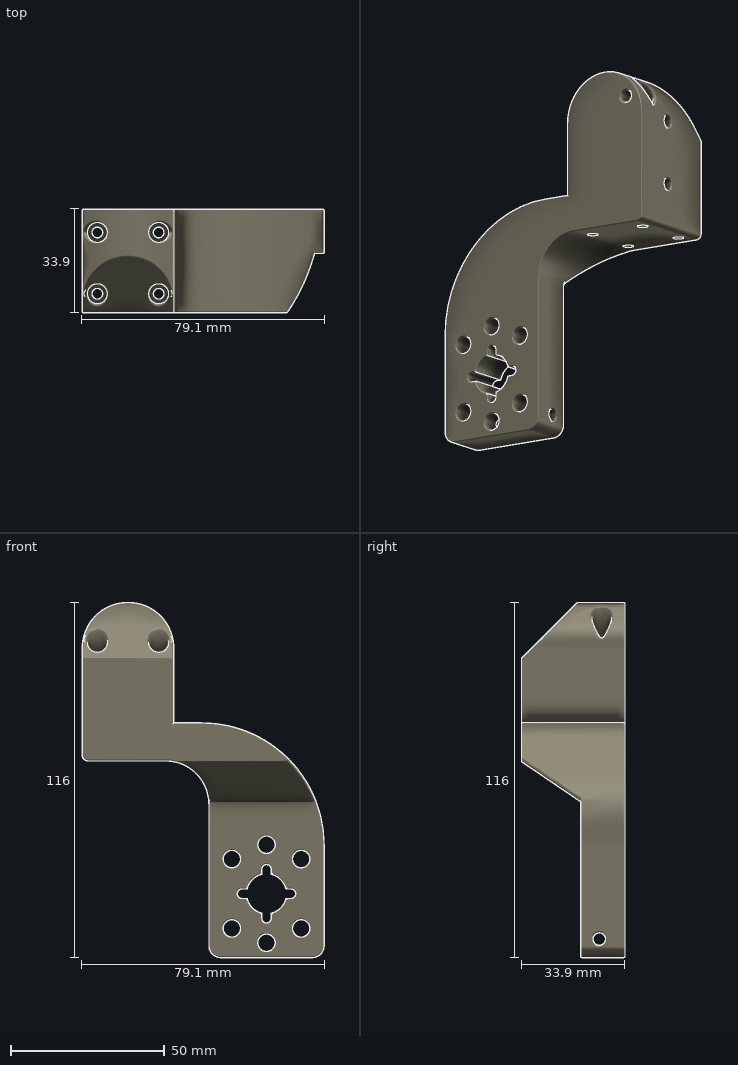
import cadquery as cq
import math

width = 79.05
depth = 33.85
height = 116.0

head_width = 30.0
head_radius = head_width / 2
head_center_z = height - head_radius
arm_top_z = 76.7
arm_bottom_z = 64.2
outer_bend_radius = 40.0
inner_bend_radius = 14.0
head_corner_radius = 2.0

leg_width = 37.7
leg_thickness = 14.5
leg_left = width - leg_width
leg_corner_radius = 4.0

head_slope_base_z = 97.75
arm_slope_lip = 0.2
arm_slope_top_z = arm_bottom_z - arm_slope_lip
arm_slope_base_z = 50.9

flange_x = width - leg_width / 2
flange_z = 20.9
bolt_diameter = 5.6
bolt_circle_radius = 16.0
bolt_angles = (45, 90, 135, 225, 270, 315)
bore_diameter = 13.0
key_width = 3.0
key_circle_radius = 8.0
key_angles = (0, 90, 180, 270)

screw_diameter = 3.4
counterbore_diameter = 6.5
counterbore_floor_z = 96.0
screw_spacing = 20.0
screw_back_y = -7.6
screw_places = [
    (head_radius + side * screw_spacing / 2, screw_back_y - row * screw_spacing)
    for side in (-1, 1)
    for row in (0, 1)
]

pin_diameter = 4.0
pin_hole_depth = 9.0
drill_tip_angle = 118.0
side_hole_y = -15.1
side_hole_heights = (79.1, 100.1)
back_hole_x = 6.5
back_hole_z = 106.7
cross_hole_y = -8.4
cross_hole_z = 6.1

edge_radius = 0.5
slope_edge_radius = 1.0
rim_radius = 0.75

tolerance = 1e-3


def polar(radius, angle):
    turn = math.radians(angle)
    return radius * math.cos(turn), radius * math.sin(turn)


def arc_middle(center_x, center_z, radius):
    dx, dz = polar(radius, 45)
    return center_x + dx, center_z + dz


def bracket_block():
    """The front outline, swept through the full depth."""
    outer_x = width - outer_bend_radius
    outer_z = arm_top_z - outer_bend_radius
    inner_x = leg_left - inner_bend_radius
    inner_z = arm_bottom_z - inner_bend_radius
    block = (
        cq.Workplane("XZ")
        .moveTo(0, arm_bottom_z)
        .lineTo(0, head_center_z)
        .threePointArc((head_radius, height), (head_width, head_center_z))
        .lineTo(head_width, arm_top_z)
        .lineTo(outer_x, arm_top_z)
        .threePointArc(arc_middle(outer_x, outer_z, outer_bend_radius), (width, outer_z))
        .lineTo(width, 0)
        .lineTo(leg_left, 0)
        .lineTo(leg_left, inner_z)
        .threePointArc(arc_middle(inner_x, inner_z, inner_bend_radius), (inner_x, arm_bottom_z))
        .close()
        .extrude(depth)
    )
    corners = ((0, arm_bottom_z, head_corner_radius), (leg_left, 0, leg_corner_radius), (width, 0, leg_corner_radius))
    for x, z, radius in corners:
        corner = cq.selectors.NearestToPointSelector((x, -depth / 2, z))
        block = block.edges(corner).fillet(radius)
    return block


def side_silhouette():
    """The outline seen along X: thin leg, sloped arm and 45 degree head slope."""
    slope_rise = height - head_slope_base_z
    return (
        cq.Workplane("YZ")
        .lineTo(-leg_thickness, 0)
        .lineTo(-leg_thickness, arm_slope_base_z)
        .lineTo(-depth, arm_slope_top_z)
        .lineTo(-depth, head_slope_base_z)
        .lineTo(slope_rise - depth, height)
        .lineTo(0, height)
        .close()
        .extrude(width)
    )


def is_slope_side(edge):
    """True for the edges that run along either sloped face and lead from front to back."""
    box = edge.BoundingBox()
    return box.ylen > tolerance and box.zlen > tolerance


def is_flat_outline(edge):
    """True for the outline edges of the back, leg and front faces, without the ends of the slopes."""
    box = edge.BoundingBox()
    slope_ends = (arm_slope_base_z, arm_slope_top_z, head_slope_base_z)
    at_slope_end = any(abs(edge.Center().z - z) < tolerance for z in slope_ends)
    level = box.zlen < tolerance
    return box.ylen < tolerance and not (level and at_slope_end)


def fillet_where(part, condition, radius):
    return part.newObject([edge for edge in part.edges().vals() if condition(edge)]).fillet(radius)


def rounded_body():
    body = bracket_block().intersect(side_silhouette())
    body = fillet_where(body, is_slope_side, slope_edge_radius)
    return fillet_where(body, is_flat_outline, edge_radius)


def leg_cylinder(x, z, diameter):
    return cq.Workplane("XZ").center(x, z).circle(diameter / 2).extrude(leg_thickness)


def leg_openings():
    """The bolt circle and the centre bore with its four round-ended keyways."""
    cut = leg_cylinder(flange_x, flange_z, bore_diameter)
    for angle in key_angles:
        dx, dz = polar(key_circle_radius, angle)
        slot = (
            cq.Workplane("XZ")
            .center(flange_x, flange_z)
            .transformed(rotate=(0, 0, angle))
            .center(key_circle_radius / 2, 0)
            .rect(key_circle_radius, key_width)
            .extrude(leg_thickness)
        )
        cut = cut.union(slot).union(leg_cylinder(flange_x + dx, flange_z + dz, key_width))
    for angle in bolt_angles:
        dx, dz = polar(bolt_circle_radius, angle)
        cut = cut.union(leg_cylinder(flange_x + dx, flange_z + dz, bolt_diameter))
    return cut


def is_leg_opening_rim(edge):
    center = edge.Center()
    from_bore = math.hypot(center.x - flange_x, center.z - flange_z)
    in_bolt_area = from_bore < bolt_circle_radius + bolt_diameter / 2
    above_foot = center.z > bolt_diameter / 2
    on_leg_face = edge.BoundingBox().ylen < tolerance and center.y > -leg_thickness - tolerance
    return in_bolt_area and above_foot and on_leg_face


def cut_leg_openings(part):
    return fillet_where(part.cut(leg_openings()), is_leg_opening_rim, edge_radius)


def head_cylinders(diameter, floor_z):
    plane = cq.Workplane("XY", origin=(0, 0, floor_z))
    return plane.pushPoints(screw_places).circle(diameter / 2).extrude(height - floor_z)


def is_counterbore_rim(edge):
    center = edge.Center()
    box = edge.BoundingBox()
    wide = min(box.xlen, box.ylen) > counterbore_diameter - tolerance
    off_axis = min(math.hypot(center.x - x, center.y - y) for x, y in screw_places)
    return wide and off_axis < screw_diameter / 2 and box.zmin > counterbore_floor_z + tolerance


def cut_screw_holes(part):
    part = part.cut(head_cylinders(counterbore_diameter, counterbore_floor_z))
    part = fillet_where(part, is_counterbore_rim, rim_radius)
    return part.cut(head_cylinders(screw_diameter, 0))


def pin_drill():
    """A drill along +X that starts at the origin and ends in a cone."""
    radius = pin_diameter / 2
    tip = radius / math.tan(math.radians(drill_tip_angle / 2))
    return (
        cq.Workplane("XY")
        .lineTo(0, radius)
        .lineTo(pin_hole_depth, radius)
        .lineTo(pin_hole_depth + tip, 0)
        .close()
        .revolve(360, (0, 0, 0), (1, 0, 0))
    )


def cut_pin_holes(part):
    back_start = (back_hole_x, 0, back_hole_z)
    side_starts = [(0, side_hole_y, z) for z in side_hole_heights]
    cross_ends = [(x, cross_hole_y, cross_hole_z) for x in (leg_left, width)]

    back_drill = pin_drill().rotate((0, 0, 0), (0, 0, 1), -90)
    part = part.cut(back_drill.translate(back_start))
    for start in side_starts:
        part = part.cut(pin_drill().translate(start))
    cross_hole = cq.Workplane("YZ").center(cross_hole_y, cross_hole_z)
    part = part.cut(cross_hole.circle(pin_diameter / 2).extrude(width))

    for rim_center in [back_start, *side_starts, *cross_ends]:
        part = part.edges(cq.selectors.NearestToPointSelector(rim_center)).fillet(rim_radius)
    return part


result = rounded_body()
result = cut_screw_holes(result)
result = cut_pin_holes(result)
result = cut_leg_openings(result)